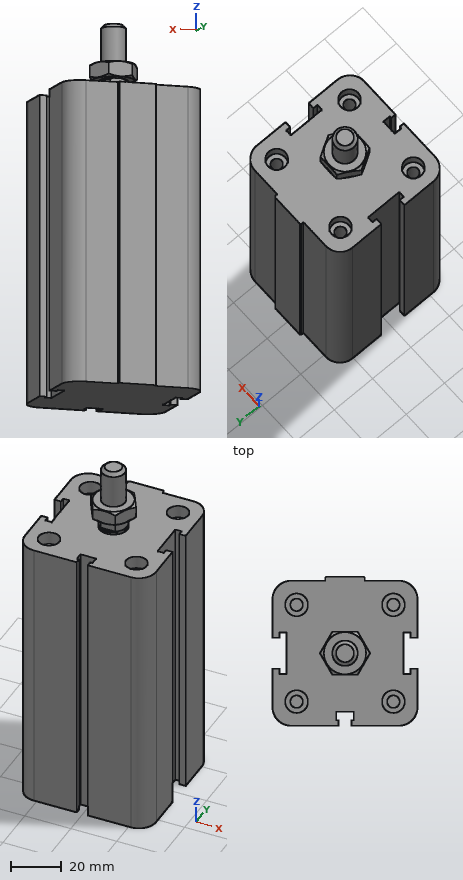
import cadquery as cq

total_height = 149.0
housing_height = 120.5
nut_bottom_z = 127.0
nut_top_z = 133.2

housing_side = 57.0
corner_radius = 7.5
back_rib_width = 15.6
back_rib_height = 1.5
back_rib_chamfer = 0.5

slot_depth = 5.5
side_slot_opening = 12.0
side_slot_pocket = 16.2
side_slot_lip = 2.8
front_slot_opening = 4.9
front_slot_pocket = 6.7
front_slot_lip = 2.2

mount_spacing = 38.0
counterbore_diameter = 9.0
counterbore_depth = 5.5
mount_hole_diameter = 4.9
mount_hole_depth = 17.9

collar_diameter = 12.0
collar_height = 0.9
collar_taper_height = 0.5
neck_diameter = 11.8
neck_chamfer = 0.6
flat_distance = 10.0
thread_diameter = 10.0
tip_chamfer = 1.5

nut_chamfer_diameter = 16.5
nut_corner_diameter = 19.7
nut_chamfer_height = 0.9


def t_slot(opening, pocket, lip):
    """T-slot cutter for the -Y face, running the full housing height."""
    face_y = -housing_side / 2
    mouth = cq.Workplane("XY").box(opening, slot_depth, housing_height, centered=(True, False, False))
    inner = (
        cq.Workplane("XY")
        .box(pocket, slot_depth - lip, housing_height, centered=(True, False, False))
        .translate((0, lip, 0))
    )
    return mouth.union(inner).translate((0, face_y, 0))


def make_housing():
    """Rounded square block with a back rib, three T-slots and mounting holes."""
    body = (
        cq.Workplane("XY")
        .rect(housing_side, housing_side)
        .extrude(housing_height)
        .edges("|Z")
        .fillet(corner_radius)
    )
    rib = (
        cq.Workplane("XY")
        .box(back_rib_width, 2 * back_rib_height, housing_height, centered=(True, True, False))
        .edges("|Z and >Y")
        .chamfer(back_rib_chamfer)
        .translate((0, housing_side / 2, 0))
    )
    body = body.union(rib)

    body = body.cut(t_slot(front_slot_opening, front_slot_pocket, front_slot_lip))
    side_slot = t_slot(side_slot_opening, side_slot_pocket, side_slot_lip)
    for angle in (-90, 90):
        body = body.cut(side_slot.rotate((0, 0, 0), (0, 0, 1), angle))

    top = body.faces(">Z").workplane(origin=(0, 0, housing_height))
    return top.rect(mount_spacing, mount_spacing, forConstruction=True).vertices().cboreHole(
        mount_hole_diameter, counterbore_diameter, counterbore_depth, mount_hole_depth
    )


def make_rod():
    """Piston rod: collar tapering into a neck with two wrench flats, then a chamfered threaded end."""
    collar_radius = collar_diameter / 2
    neck_radius = neck_diameter / 2
    thread_radius = thread_diameter / 2
    taper_bottom_z = housing_height + collar_height
    neck_bottom_z = taper_bottom_z + collar_taper_height
    turned = (
        cq.Workplane("XZ")
        .moveTo(0, housing_height)
        .lineTo(collar_radius, housing_height)
        .lineTo(collar_radius, taper_bottom_z)
        .lineTo(neck_radius, neck_bottom_z)
        .lineTo(neck_radius, nut_bottom_z - neck_chamfer)
        .lineTo(neck_radius - neck_chamfer, nut_bottom_z)
        .lineTo(thread_radius, nut_bottom_z)
        .lineTo(thread_radius, total_height - tip_chamfer)
        .lineTo(thread_radius - tip_chamfer, total_height)
        .lineTo(0, total_height)
        .close()
        .revolve(360, (0, 0, 0), (0, 1, 0))
    )
    flat_cut = (
        cq.Workplane("XY")
        .workplane(offset=neck_bottom_z)
        .center(0, flat_distance)
        .rect(collar_diameter, flat_distance)
        .extrude(nut_bottom_z - neck_bottom_z)
    )
    for angle in (0, 180):
        turned = turned.cut(flat_cut.rotate((0, 0, 0), (0, 0, 1), angle))
    return turned


def make_nut():
    """Hexagonal nut with corners on the X axis, coned at both ends."""
    height = nut_top_z - nut_bottom_z
    hexagon = cq.Workplane("XY").polygon(6, nut_corner_diameter).extrude(height)
    end_radius = nut_chamfer_diameter / 2
    outer_radius = nut_corner_diameter / 2
    cone_envelope = (
        cq.Workplane("XZ")
        .moveTo(0, 0)
        .lineTo(end_radius, 0)
        .lineTo(outer_radius, nut_chamfer_height)
        .lineTo(outer_radius, height - nut_chamfer_height)
        .lineTo(end_radius, height)
        .lineTo(0, height)
        .close()
        .revolve(360, (0, 0, 0), (0, 1, 0))
    )
    bore = cq.Workplane("XY").circle(thread_diameter / 2).extrude(height)
    return hexagon.intersect(cone_envelope).cut(bore).translate((0, 0, nut_bottom_z))


housing = make_housing()
rod = make_rod()
nut = make_nut()

result = cq.Compound.makeCompound([housing.val(), rod.val(), nut.val()])